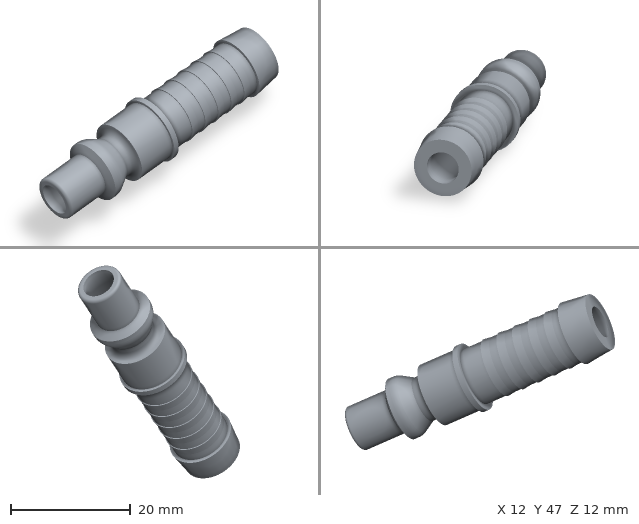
import cadquery as cq
import math

total_length = 47.0
bore_radius = 2.75

nose_radius = 3.95
nose_rounding = 0.5
nose_length = 8.0
body_radius = 5.5
collar_start = 8.85
collar_end = 9.7
collar_rounding = 2.5
collar_back_angle = math.radians(30)

neck_fillet = 1.0
body_start = 15.0
flange_radius = 5.992
flange_start = 22.0
flange_width = 1.0

shank_radius = 5.0
barb_radius = 5.15
barb_count = 5
first_barb = 27.0
barb_pitch = 3.0
barb_length = barb_pitch / 2
head_start = 42.0
head_base_radius = 5.6
head_tip_radius = 5.05


def arc_point(center_radius, center_position, radius, angle):
    """Point on a profile arc; the angle runs from outward towards the hose end."""
    return (
        center_radius + radius * math.cos(angle),
        center_position + radius * math.sin(angle),
    )


def add_nose(profile):
    center = (nose_radius - nose_rounding, nose_rounding)
    return (
        profile.lineTo(nose_radius - nose_rounding, 0)
        .threePointArc(
            arc_point(*center, nose_rounding, -math.pi / 4),
            (nose_radius, nose_rounding),
        )
        .lineTo(nose_radius, nose_length)
    )


def add_collar(profile):
    center = (body_radius - collar_rounding, collar_end)
    cone_radius, cone_start = arc_point(*center, collar_rounding, collar_back_angle)
    cone_end = cone_start + (cone_radius - nose_radius) / math.tan(collar_back_angle)
    return (
        profile.lineTo(body_radius, collar_start)
        .lineTo(body_radius, collar_end)
        .threePointArc(
            arc_point(*center, collar_rounding, collar_back_angle / 2),
            (cone_radius, cone_start),
        )
        .lineTo(nose_radius, cone_end)
    )


def add_neck_and_body(profile):
    fillet_start = body_start - neck_fillet
    fillet_outer_radius = nose_radius + neck_fillet
    return (
        profile.lineTo(nose_radius, fillet_start)
        .threePointArc(
            arc_point(fillet_outer_radius, fillet_start, neck_fillet, 3 * math.pi / 4),
            (fillet_outer_radius, body_start),
        )
        .lineTo(body_radius, body_start)
        .lineTo(body_radius, flange_start)
        .lineTo(flange_radius, flange_start)
        .lineTo(flange_radius, flange_start + flange_width)
        .lineTo(shank_radius, flange_start + flange_width)
    )


def add_hose_tail(profile):
    for index in range(barb_count):
        barb_start = first_barb + index * barb_pitch
        profile = (
            profile.lineTo(shank_radius, barb_start)
            .lineTo(barb_radius, barb_start)
            .lineTo(shank_radius, barb_start + barb_length)
        )
    return (
        profile.lineTo(shank_radius, head_start)
        .lineTo(head_base_radius, head_start)
        .lineTo(head_tip_radius, total_length)
    )


profile = cq.Workplane("XY").moveTo(bore_radius, 0)
profile = add_nose(profile)
profile = add_collar(profile)
profile = add_neck_and_body(profile)
profile = add_hose_tail(profile)
profile = profile.lineTo(bore_radius, total_length).close()

result = profile.revolve(360, (0, 0, 0), (0, 1, 0))